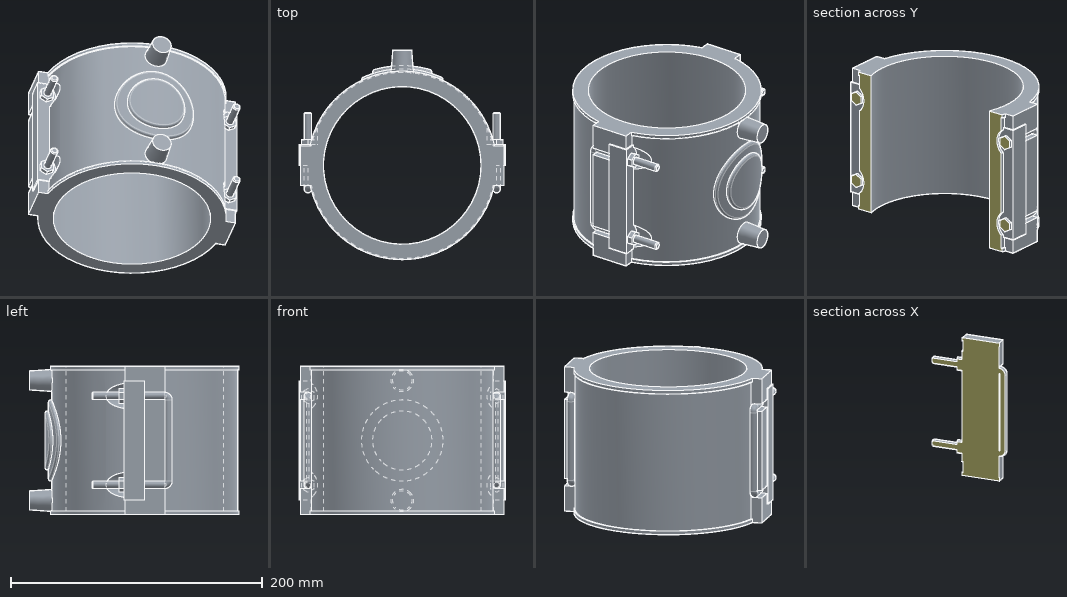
import cadquery as cq


height = 118.0
bore_radius = 62.5
body_radius = 74.0
rim_radius = 75.0
rim_height = 3.0

lug_reach = 81.0
front_lug_depth = 16.0
rear_lug_depth = 15.5
plate_thickness = 1.0
plate_height = 94.4
plate_reach = lug_reach + plate_thickness
plate_back = rear_lug_depth + plate_thickness

bolt_diameter = 6.0
bolt_radius = bolt_diameter / 2
bolt_x = 75.0
bolt_leg_z = 35.3
bolt_tip_y = 42.0
bolt_tip_chamfer = 0.8
bolt_bridge_y = -18.8
bolt_bend_radius = 3.2

nut_across_corners = 11.7
nut_thickness = 4.0
hollow_radius = 12.7
hollow_x = 80.0
hollow_end_y = 41.7

pad_step = 2.7
pad_fillet = 2.0
pad_radii = (32.3, 23.5)

spigot_z = 47.7
spigot_end_y = 91.7
spigot_root_y = 70.0
spigot_tip_diameter = 15.3
spigot_root_diameter = 18.3

SIDES = (-1, 1)


def upright_cylinder(radius, length):
    return cq.Workplane("XY").circle(radius).extrude(length / 2, both=True)


def block(x_range, y_range, z_range):
    """Axis-aligned box between the given limits."""
    (x0, x1), (y0, y1), (z0, z1) = x_range, y_range, z_range
    return cq.Workplane("XY").box(x1 - x0, y1 - y0, z1 - z0, centered=False).translate((x0, y0, z0))


def rearward(x, y, z):
    """Sketch plane at the given point, facing +Y."""
    return cq.Workplane(cq.Plane(origin=(x, y, z), xDir=(1, 0, 0), normal=(0, 1, 0)))


def sleeve():
    shell = upright_cylinder(body_radius, height)
    for side in SIDES:
        rim = upright_cylinder(rim_radius, rim_height)
        shell = shell.union(rim.translate((0, 0, side * (height - rim_height) / 2)))
    return shell


def pad():
    """Two round steps on the rear wall, each topped by a cylindrical surface."""
    steps = cq.Workplane("XY")
    for level, radius in enumerate(pad_radii, start=1):
        top_radius = body_radius + level * pad_step
        step = rearward(0, bore_radius, 0).circle(radius).extrude(body_radius)
        step = step.intersect(upright_cylinder(top_radius, height))
        step = step.faces(">Y").edges().fillet(pad_fillet)
        steps = steps.add(step)
    return steps.combine()


def spigot(z):
    return (
        rearward(0, spigot_root_y, z)
        .circle(spigot_root_diameter / 2)
        .workplane(offset=spigot_end_y - spigot_root_y)
        .circle(spigot_tip_diameter / 2)
        .loft()
    )


def lugs():
    """Front and rear lugs of the +X side, with the cover plate on the rear one."""
    lug_x = (bore_radius, lug_reach)
    lug_z = (-height / 2, height / 2)
    plate_z = (-plate_height / 2, plate_height / 2)
    pair = block(lug_x, (-front_lug_depth, rear_lug_depth), lug_z)
    return pair.union(block((bore_radius, plate_reach), (0, plate_back), plate_z))


def bolt_slot(z):
    """Slot through the front lug that lets a bolt leg swing in from the side."""
    slot_z = (z - bolt_radius, z + bolt_radius)
    return block((bolt_x, plate_reach), (-front_lug_depth, 0), slot_z)


def nut_hollow(z):
    """Scooped clearance in the sleeve wall behind the rear lug."""
    return rearward(hollow_x, plate_back, z).circle(hollow_radius).extrude(hollow_end_y - plate_back)


def nut(z):
    hexagon = rearward(bolt_x, plate_back, z).transformed(rotate=(0, 0, 90))
    return hexagon.polygon(6, nut_across_corners).extrude(nut_thickness)


def u_bolt():
    """Round bar bent into a U, legs pointing to +Y."""
    bend_start_y = bolt_bridge_y + bolt_bend_radius
    bridge_end_z = bolt_leg_z - bolt_bend_radius
    bolt = (
        cq.Workplane("XY", origin=(bolt_x, bolt_bridge_y, -bridge_end_z))
        .circle(bolt_radius)
        .extrude(2 * bridge_end_z)
    )
    for side in SIDES:
        leg = rearward(bolt_x, bend_start_y, side * bolt_leg_z).circle(bolt_radius)
        leg = leg.extrude(bolt_tip_y - bend_start_y).faces(">Y").chamfer(bolt_tip_chamfer)
        bend = (
            cq.Workplane("XY", origin=(bolt_x, bolt_bridge_y, side * bridge_end_z))
            .circle(bolt_radius)
            .revolve(90, (0, bolt_bend_radius, 0), (-side, bolt_bend_radius, 0))
        )
        bolt = bolt.union(leg).union(bend)
    return bolt


def mirrored(shape):
    """The shape together with its mirror image on the -X side."""
    return shape.union(shape.mirror("YZ"))


leg_heights = [side * bolt_leg_z for side in SIDES]

clamp = sleeve().union(pad())
for side in SIDES:
    clamp = clamp.union(spigot(side * spigot_z))
for z in leg_heights:
    clamp = clamp.cut(mirrored(nut_hollow(z)))

side_lugs = lugs()
for z in leg_heights:
    side_lugs = side_lugs.cut(bolt_slot(z))
fasteners = u_bolt()
for z in leg_heights:
    fasteners = fasteners.union(nut(z))

clamp = clamp.union(mirrored(side_lugs)).union(mirrored(fasteners))
result = clamp.cut(upright_cylinder(bore_radius, height))